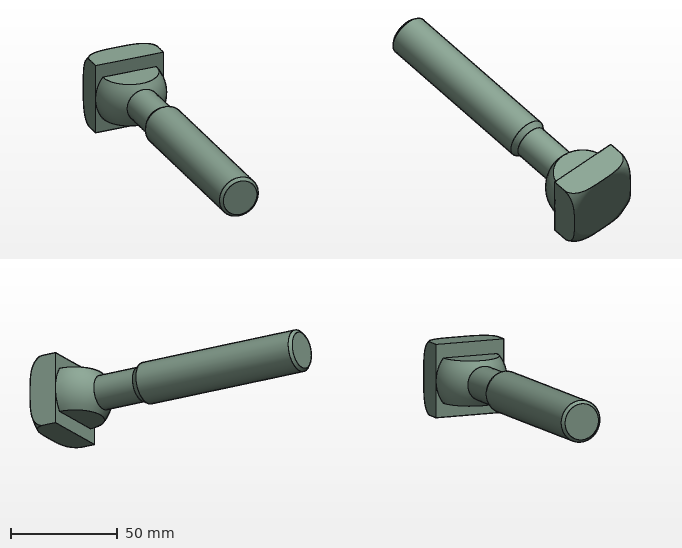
import cadquery as cq
import math

total_length = 139
head_width = 35.0
head_thickness = 14.0
collar_height = 21.5
neck_diameter = 16.5
neck_end = 50.7
shank_diameter = 20.0
shoulder_angle = 30
end_chamfer = 1.4

ball_radius = head_width / 2
head_corner_radius = head_width / math.sqrt(2)
head_rounding = head_corner_radius - head_width / 2
neck_radius = neck_diameter / 2
shank_radius = shank_diameter / 2
shoulder_length = (shank_radius - neck_radius) / math.tan(math.radians(shoulder_angle))


def make_head():
    """Square head whose corners are rounded off towards its front face."""
    square = cq.Workplane("YZ").rect(head_width, head_width).extrude(head_thickness)
    rounded_disc = (
        cq.Workplane("YZ")
        .circle(head_corner_radius)
        .extrude(head_thickness)
        .faces("<X")
        .edges()
        .fillet(head_rounding)
    )
    return square.intersect(rounded_disc)


def make_collar():
    """Half ball behind the head, flattened above and below."""
    ball = cq.Workplane("XY").sphere(ball_radius).translate((head_thickness, 0, 0))
    slab = cq.Workplane("XY").box(
        ball_radius, head_width, collar_height, centered=(False, True, True)
    )
    return ball.intersect(slab.translate((head_thickness, 0, 0)))


def make_stem():
    """Narrow neck, conical shoulder and shank with a chamfered end."""
    profile = (
        cq.Workplane("XY")
        .moveTo(head_thickness, 0)
        .lineTo(head_thickness, neck_radius)
        .lineTo(neck_end, neck_radius)
        .lineTo(neck_end + shoulder_length, shank_radius)
        .lineTo(total_length - end_chamfer, shank_radius)
        .lineTo(total_length, shank_radius - end_chamfer)
        .lineTo(total_length, 0)
        .close()
    )
    return profile.revolve(360, (0, 0, 0), (1, 0, 0))


result = make_head().union(make_collar()).union(make_stem())